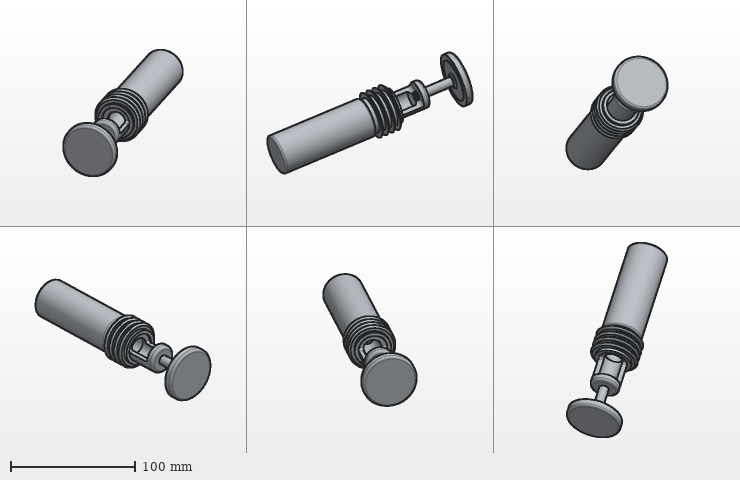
import cadquery as cq
import math

overall_length = 167.5

knob_diameter = 45.0
knob_thickness = 6.4
knob_round = 2.0
plate_radius = 17.6
plate_thickness = 0.5
hub_base_radius = 6.7
hub_height = 1.5
hub_top_radius = hub_base_radius - hub_height

rod_radius = 4.0
rod_end = 41.5
rod_chamfer = 1.2

scoop_radius = 11.9
scoop_front = 33.3
scoop_round = 2.5
scoop_head_thickness = 6.0
scoop_insertion = 5.0
window_corner_radius = 2.0
bore_radius = 7.5
bore_cone_start = 44.5
drill_point_angle = 118.0

sleeve_front = 60.1
sleeve_radius = 15.0
fin_count = 4
fin_pitch = 5.5
first_fin_offset = 2.8
fin_thickness = 1.8
fin_tip_radius = 19.6
fin_front_radius = fin_tip_radius - fin_thickness

handle_front = 85.3
handle_radius = 16.5
handle_round = 1.7

scoop_back = sleeve_front + scoop_insertion
window_front = scoop_front + scoop_head_thickness
window_back = sleeve_front + window_corner_radius


def cylinder(radius, start, end):
    """Cylinder along Y from start to end."""
    return cq.Workplane("XZ", origin=(0, start, 0)).circle(radius).extrude(start - end)


def cone(start_radius, end_radius, start, end):
    """Cone or truncated cone along Y from start to end."""
    solid = cq.Solid.makeCone(
        start_radius, end_radius, end - start, cq.Vector(0, start, 0), cq.Vector(0, 1, 0)
    )
    return cq.Workplane(obj=solid)


def make_knob():
    knob = cylinder(knob_diameter / 2, 0, knob_thickness)
    return knob.faces("<Y").edges().fillet(knob_round)


def make_hub_plate():
    plate_back = knob_thickness + plate_thickness
    plate = cylinder(plate_radius, knob_thickness, plate_back)
    hub = cone(hub_base_radius, hub_top_radius, plate_back, plate_back + hub_height)
    rod_hole = cylinder(rod_radius, knob_thickness, plate_back + hub_height)
    return plate.union(hub).cut(rod_hole)


def make_rod():
    rod = cylinder(rod_radius, knob_thickness, rod_end)
    return rod.faces(">Y").edges().chamfer(rod_chamfer)


def make_scoop():
    body = cylinder(scoop_radius, scoop_front, scoop_back)
    body = body.faces("<Y").edges().fillet(scoop_round)

    window = (
        cq.Workplane("XY", origin=(0, (window_front + window_back) / 2, 0))
        .rect(2 * scoop_radius, window_back - window_front)
        .extrude(scoop_radius)
        .faces("<Z").edges("|X").fillet(window_corner_radius)
    )

    point_depth = bore_radius / math.tan(math.radians(drill_point_angle / 2))
    bore = cylinder(bore_radius, bore_cone_start, scoop_back)
    bore_point = cone(0, bore_radius, bore_cone_start - point_depth, bore_cone_start)

    rod_hole = cylinder(rod_radius, scoop_front, rod_end)
    return body.cut(window).cut(bore).cut(bore_point).cut(rod_hole)


def make_sleeve():
    sleeve = cylinder(sleeve_radius, sleeve_front, handle_front)
    for index in range(fin_count):
        fin_start = sleeve_front + first_fin_offset + index * fin_pitch
        fin = cone(fin_front_radius, fin_tip_radius, fin_start, fin_start + fin_thickness)
        sleeve = sleeve.union(fin)
    scoop_socket = cylinder(scoop_radius, sleeve_front, scoop_back)
    bore = cylinder(bore_radius, scoop_back, handle_front)
    return sleeve.cut(scoop_socket).cut(bore)


def make_handle():
    handle = cylinder(handle_radius, handle_front, overall_length)
    return handle.faces("<Y or >Y").edges().fillet(handle_round)


knob = make_knob()
hub_plate = make_hub_plate()
rod = make_rod()
scoop = make_scoop()
sleeve = make_sleeve()
handle = make_handle()

result = cq.Compound.makeCompound(
    [knob.val(), hub_plate.val(), rod.val(), scoop.val(), sleeve.val(), handle.val()]
)